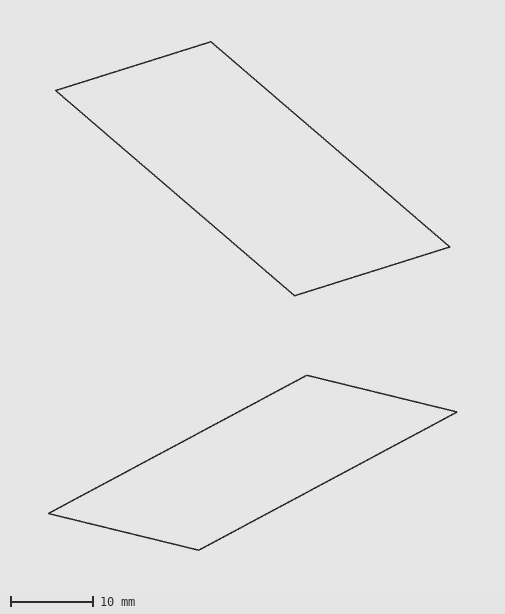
import cadquery as cq

length = 56.0
width = 22.0
thickness = 0.05

result = cq.Workplane("XY").box(length, width, thickness)